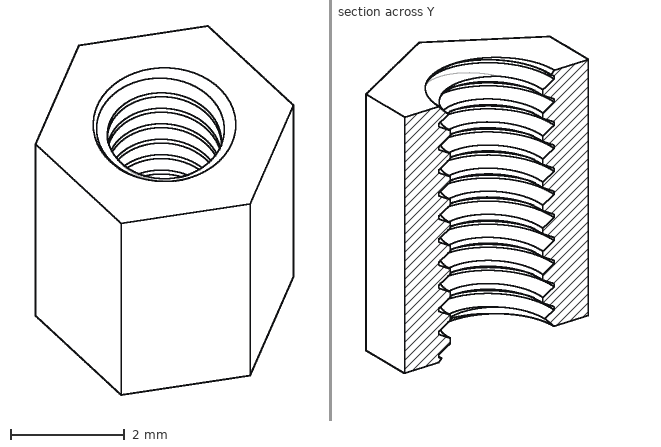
import cadquery as cq
import math

height = 5.0
across_flats = 4.0
hex_sides = 6
corner_angle = 180 / hex_sides
across_corners = across_flats / math.cos(math.radians(corner_angle))

pitch = 0.45
minor_radius = 1.005
major_radius = 1.25
crest_width = pitch / 4
root_width = pitch / 8
bore_overlap = 0.025
thread_start_angle = -42.0

lead_in_radius = 1.255
lead_in_depth = lead_in_radius - minor_radius


def hex_body():
    return (
        cq.Workplane("XY")
        .polygon(hex_sides, across_corners)
        .extrude(height)
        .rotate((0, 0, 0), (0, 0, 1), corner_angle)
    )


def bore_cutter():
    """Revolved bore with a lead-in cone at both ends."""
    profile = [
        (0, 0),
        (lead_in_radius, 0),
        (minor_radius, lead_in_depth),
        (minor_radius, height - lead_in_depth),
        (lead_in_radius, height),
        (0, height),
    ]
    return cq.Workplane("XZ").polyline(profile).close().revolve(360, (0, 0), (0, 1))


def groove_turn():
    """One turn of the helical thread groove, starting with its centre at z = 0."""
    flank_slope = (pitch - crest_width - root_width) / 2 / (major_radius - minor_radius)
    half_root = root_width / 2
    inner_radius = minor_radius - bore_overlap
    half_mouth = half_root + flank_slope * (major_radius - inner_radius)
    profile = [
        (inner_radius, -half_mouth),
        (major_radius, -half_root),
        (major_radius, half_root),
        (inner_radius, half_mouth),
    ]
    helix = cq.Workplane(cq.Wire.makeHelix(pitch, pitch, minor_radius))
    groove = cq.Workplane("XZ").polyline(profile).close().sweep(helix, isFrenet=True)
    return groove.rotate((0, 0, 0), (0, 0, 1), thread_start_angle)


def cut_thread(body):
    """Cut the groove turn by turn so that it runs out through both lead-in cones."""
    turn = groove_turn()
    top_centre = height + root_width / 2
    turns_to_bottom = math.ceil(top_centre / pitch)
    for turns_down in range(turns_to_bottom + 1):
        body = body.cut(turn.translate((0, 0, top_centre - turns_down * pitch)))
    return body


result = cut_thread(hex_body().cut(bore_cutter()))